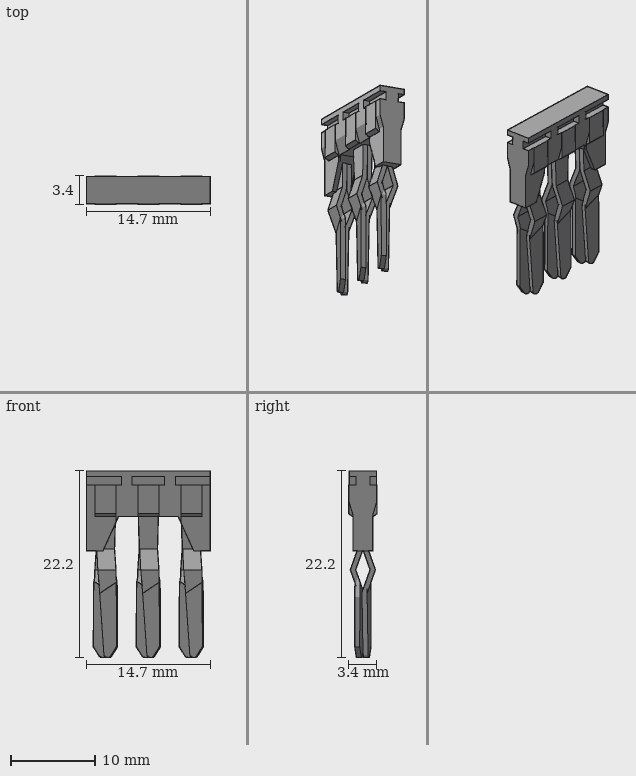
import cadquery as cq
import math


LENGTH = 14.7
PIN_COUNT = 3
PITCH = 5.1
TOTAL_HEIGHT = 22.17

PAD_WIDTH = 2.5
PAD_SPAN = 3.4
PAD_BEVEL_TOP = -5.09

BODY_DEPTH = 3.26
WAIST_DEPTH = 2.4
TAPER_TOP = -3.71
TAPER_BOTTOM = -5.17
BODY_BOTTOM = -5.45
CORE_BOTTOM = -7.0
LEG_BOTTOM = -9.5
LEG_INNER_TOP = 3.54
LEG_INNER_BOTTOM = 5.39
LEG_INNER_SIDE = PITCH - PAD_WIDTH / 2

GROOVE_TOP = -0.68
GROOVE_BOTTOM = -1.68
GROOVE_DEPTH = 0.81
MIDDLE_GROOVE_LENGTH = 3.84
END_GROOVE_LENGTH = 4.14

LEAF_THICKNESS = 0.62
STEM_OVERLAP = 0.3
STEM_TOP = BODY_BOTTOM + STEM_OVERLAP
BOW_Z = -11.75
BOW_REACH = 1.5
BOW_ANGLE = 19.6
BOW_TAIL_Z = -17.0
BLADE_TOP = -12.4
BLADE_ANGLE = 13.4
BLADE_FACE_OFFSET = 0.663
BLADE_BOTTOM = -TOTAL_HEIGHT

STEM_TOP_HALF_WIDTH = 1.21
BOW_RIGHT_EDGE = [(STEM_TOP_HALF_WIDTH, STEM_TOP), (1.1, -9.3), (1.27, BOW_Z), (1.34, BOW_TAIL_Z)]
BOW_LEFT_EDGE = [
    (-0.5, BOW_TAIL_Z),
    (-0.68, -14.57),
    (-0.9, BOW_Z),
    (-1.09, -8.0),
    (-STEM_TOP_HALF_WIDTH, STEM_TOP),
]

BLADE_RIGHT_EDGE = [(0.52, BLADE_BOTTOM), (1.345, -20.9), (1.325, -15.0), (1.29, -13.3), (1.2, BLADE_TOP)]
BLADE_LEFT_EDGE = [(-0.87, BLADE_TOP), (-0.7, -14.57), (-0.16, BLADE_BOTTOM)]
TIP_RADIUS = 0.4


def box(x_range, y_range, z_range):
    """Box spanning the given limits."""
    sizes = [high - low for low, high in (x_range, y_range, z_range)]
    corner = (x_range[0], y_range[0], z_range[0])
    return cq.Workplane("XY").box(*sizes, centered=False).translate(corner)


def side_prism(points, width):
    """Prism of a (y, z) outline, centred on X."""
    return cq.Workplane("YZ").polyline(points).close().extrude(width / 2, both=True)


def front_prism(points, depth):
    """Prism of an (x, z) outline, centred on Y."""
    return cq.Workplane("XZ").polyline(points).close().extrude(depth / 2, both=True)


def mirrored(points):
    """Close a half outline by reflecting it about the vertical axis."""
    return points + [(-across, z) for across, z in reversed(points)]


def make_body():
    """Block tapering downwards between two parallel-sided end legs."""
    taper_slope = (BODY_DEPTH - WAIST_DEPTH) / 2 / (TAPER_TOP - TAPER_BOTTOM)
    core_section = mirrored([
        (BODY_DEPTH / 2, 0),
        (BODY_DEPTH / 2, TAPER_TOP),
        (BODY_DEPTH / 2 - taper_slope * (TAPER_TOP - CORE_BOTTOM), CORE_BOTTOM),
    ])
    block = side_prism(core_section, LENGTH)
    leg_y = (-WAIST_DEPTH / 2, WAIST_DEPTH / 2)
    for leg_x in ((-LENGTH / 2, -LEG_INNER_SIDE), (LEG_INNER_SIDE, LENGTH / 2)):
        block = block.union(box(leg_x, leg_y, (LEG_BOTTOM, TAPER_TOP)))

    outline = mirrored([
        (LENGTH / 2, 0),
        (LENGTH / 2, LEG_BOTTOM),
        (LEG_INNER_BOTTOM, LEG_BOTTOM),
        (LEG_INNER_TOP, BODY_BOTTOM),
    ])
    return block.intersect(front_prism(outline, BODY_DEPTH))


def cut_grooves(body):
    """Cut three grooves into each long face; the outer ones run out of the ends."""
    end = LENGTH / 2
    x_ranges = [
        (-end, -end + END_GROOVE_LENGTH),
        (-MIDDLE_GROOVE_LENGTH / 2, MIDDLE_GROOVE_LENGTH / 2),
        (end - END_GROOVE_LENGTH, end),
    ]
    outer = BODY_DEPTH / 2
    inner = outer - GROOVE_DEPTH
    for x_range in x_ranges:
        for y_range in ((-outer, -inner), (inner, outer)):
            body = body.cut(box(x_range, y_range, (GROOVE_BOTTOM, GROOVE_TOP)))
    return body


def make_pads():
    """Pads standing proud of both long faces, bevelled at the bottom."""
    inner = BODY_DEPTH / 2 - GROOVE_DEPTH
    front_pad = side_prism([
        (-inner, GROOVE_BOTTOM),
        (-PAD_SPAN / 2, GROOVE_BOTTOM),
        (-PAD_SPAN / 2, PAD_BEVEL_TOP),
        (-WAIST_DEPTH / 2, BODY_BOTTOM),
        (-inner, BODY_BOTTOM),
    ], PAD_WIDTH)
    return front_pad.union(front_pad.mirror("XZ"))


def make_leaf():
    """Front leaf of a pin at X = 0."""
    slope = math.tan(math.radians(BOW_ANGLE))
    bow_inner_reach = BOW_REACH - LEAF_THICKNESS / math.cos(math.radians(BOW_ANGLE))
    outer_start = BOW_Z + (BOW_REACH - LEAF_THICKNESS) / slope
    inner_start = BOW_Z + bow_inner_reach / slope
    tail_shift = (BOW_Z - BOW_TAIL_Z) * slope

    inner_face = [
        (0, inner_start),
        (-bow_inner_reach, BOW_Z),
        (tail_shift - bow_inner_reach, BOW_TAIL_Z),
    ]
    outer_face = [
        (tail_shift - BOW_REACH, BOW_TAIL_Z),
        (-BOW_REACH, BOW_Z),
        (-LEAF_THICKNESS, outer_start),
        (-LEAF_THICKNESS, STEM_TOP),
    ]
    strip = side_prism([(0, STEM_TOP)] + inner_face + outer_face, PITCH)
    strip = strip.intersect(front_prism(BOW_RIGHT_EDGE + BOW_LEFT_EDGE, 2 * PITCH))

    def turned(solid):
        return solid.rotate((0, 0, 0), (0, 0, 1), -BLADE_ANGLE).translate((0, -BLADE_FACE_OFFSET, 0))

    blade = cq.Workplane("XZ").polyline(BLADE_RIGHT_EDGE + BLADE_LEFT_EDGE).close().extrude(-LEAF_THICKNESS)
    blade = turned(blade.edges("|Y").edges("<Z").fillet(TIP_RADIUS))
    behind_blade = turned(box(
        (-PITCH, PITCH), (LEAF_THICKNESS, LEAF_THICKNESS + PITCH), (BLADE_BOTTOM, BLADE_TOP)))
    beside_blade = turned(front_prism(
        BLADE_LEFT_EDGE + [(-PITCH, BLADE_BOTTOM), (-PITCH, BLADE_TOP)], 2 * PITCH))
    behind_strip = side_prism(inner_face + [(PITCH, BOW_TAIL_Z), (PITCH, inner_start)], PITCH)

    return strip.cut(behind_blade).cut(beside_blade).union(blade.cut(behind_strip))


def make_pin():
    """Two leaves, alike under a half turn about the pin axis."""
    leaf = make_leaf()
    return leaf.union(leaf.rotate((0, 0, 0), (0, 0, 1), 180))


result = cut_grooves(make_body())
pads = make_pads()
pin = make_pin()
for index in range(PIN_COUNT):
    position = ((index - (PIN_COUNT - 1) / 2) * PITCH, 0, 0)
    result = result.union(pads.translate(position)).union(pin.translate(position))